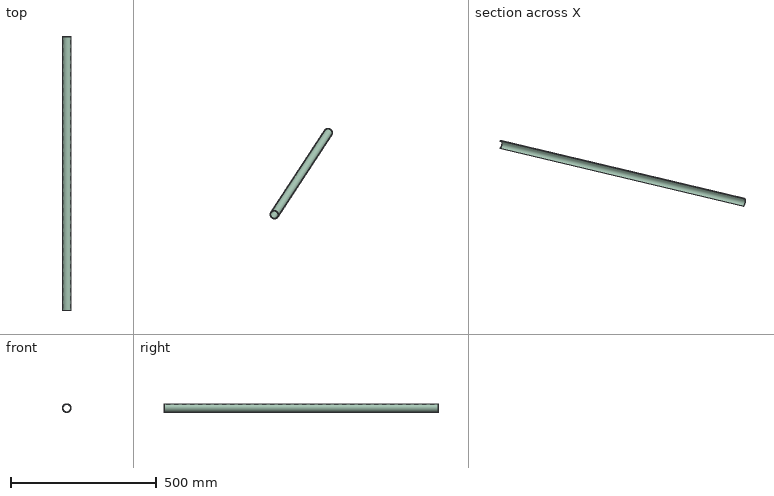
import cadquery as cq

outer_diameter = 30.0
wall_thickness = 2.0
tube_length = 939.96


def round_tube(outer, wall, length):
    """Hollow cylinder along Y, centred on the origin."""
    inner = outer - 2 * wall
    section = cq.Workplane("XZ", origin=(0, length / 2, 0)).circle(outer / 2).circle(inner / 2)
    return section.extrude(length)


result = round_tube(outer_diameter, wall_thickness, tube_length)